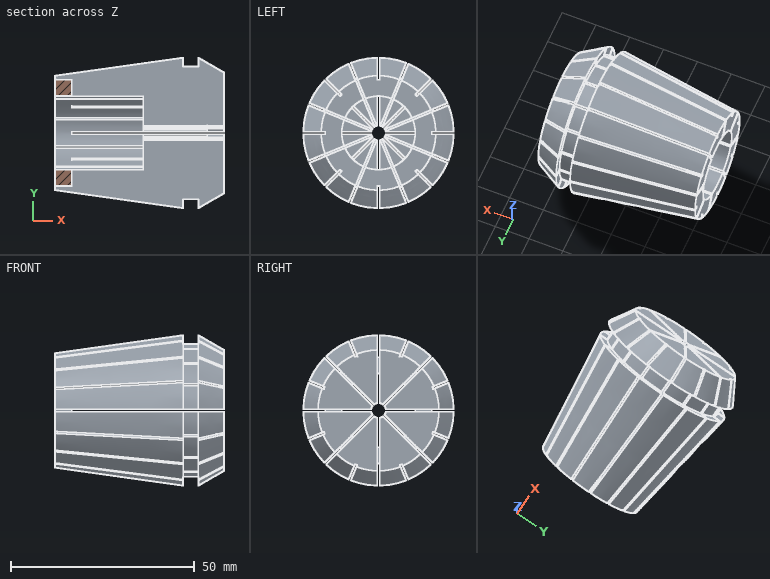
import cadquery as cq
import math

LENGTH = 46.0
MAX_RADIUS = 20.5

TAPER_ANGLE = 8.0
NOSE_ANGLE = 30.0
NOSE_LENGTH = 7.0
GROOVE_WIDTH = 4.1
GROOVE_RADIUS = 18.1

RELIEF_RADIUS = 10.0
CLAMP_RADIUS = 2.0
CLAMP_LENGTH = 22.0

SLOTS_PER_SET = 8
SLOT_WIDTH = 0.6
BRIDGE_LENGTH = 4.6
TAPER_NOTCH_FLOOR = 14.5
NOSE_NOTCH_FLOOR = 16.0

nose_start = LENGTH - NOSE_LENGTH
groove_start = nose_start - GROOVE_WIDTH
taper_end_radius = MAX_RADIUS - groove_start * math.tan(math.radians(TAPER_ANGLE))
nose_end_radius = MAX_RADIUS - NOSE_LENGTH * math.tan(math.radians(NOSE_ANGLE))
relief_depth = LENGTH - CLAMP_LENGTH
slot_pitch = 360.0 / SLOTS_PER_SET


def collet_blank():
    """Revolved body with the tapers, the extraction groove and the stepped bore."""
    half_section = [
        (0, RELIEF_RADIUS),
        (0, taper_end_radius),
        (groove_start, MAX_RADIUS),
        (groove_start, GROOVE_RADIUS),
        (nose_start, GROOVE_RADIUS),
        (nose_start, MAX_RADIUS),
        (LENGTH, nose_end_radius),
        (LENGTH, CLAMP_RADIUS),
        (relief_depth, CLAMP_RADIUS),
        (relief_depth, RELIEF_RADIUS),
    ]
    return cq.Workplane("XY").polyline(half_section).close().revolve(360, (0, 0), (1, 0))


def radial_slot(x_start, x_end, floor_radius):
    """Thin plate on the +Z side, from floor_radius out to the largest radius."""
    return cq.Workplane("XY").box(
        x_end - x_start, SLOT_WIDTH, MAX_RADIUS - floor_radius, centered=(False, True, False)
    ).translate((x_start, 0, floor_radius))


def cut_slot_set(body, x_start, x_end, notch_floor, first_angle):
    """Cut evenly spaced full-depth slots, each with a shallow notch along the whole length."""
    cutter = radial_slot(x_start, x_end, 0).union(radial_slot(0, LENGTH, notch_floor))
    for index in range(SLOTS_PER_SET):
        angle = first_angle + index * slot_pitch
        body = body.cut(cutter.rotate((0, 0, 0), (1, 0, 0), angle))
    return body


result = collet_blank()
result = cut_slot_set(result, BRIDGE_LENGTH, LENGTH, TAPER_NOTCH_FLOOR, 0)
result = cut_slot_set(result, 0, LENGTH - BRIDGE_LENGTH, NOSE_NOTCH_FLOOR, slot_pitch / 2)